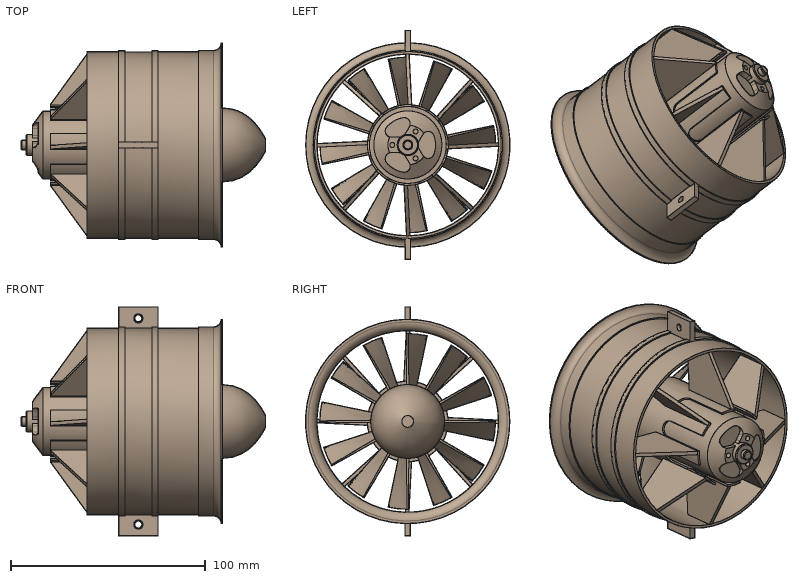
import cadquery as cq
import math


SHROUD_OD = 96.0
SHROUD_ID = 93.2
SHROUD_REAR = 34.0
BAND_OD = 97.2
BAND_WIDTH = 3.3

COLLAR_REAR = 91.3
LIP_OD = 105.0
LIP_FRONT = 103.5
LIP_THICKNESS = 0.6
FLARE_RADIUS = (LIP_OD - BAND_OD) / 2
COLLAR_FRONT = LIP_FRONT - LIP_THICKNESS - FLARE_RADIUS

EAR_REAR = 50.2
EAR_LENGTH = 20.4
EAR_THICKNESS = 2.9
EAR_SPAN = 117.6
EAR_HOLE_SPACING = 105.9
EAR_HOLE_DIA = 3.5
EAR_COUNTERBORE_DIA = 4.7
EAR_COUNTERBORE_DEPTH = 0.8

SLEEVE_OD = 41.5
SLEEVE_ID = 39.5
SLEEVE_REAR = 15.2
SLEEVE_FRONT = 78.0
SLEEVE_WALL = 3.8
STRUT_COUNT = 8
STRUT_FRONT = 53.3
STRUT_THICKNESS = 1.9
STRUT_OFFSET = 2.1
STRUT_LEAN = 2.9
SLOT_WIDTH = 8.0
SLOT_TIP = 48.2
SLOT_ANGLE = 27.5

CAN_DIA = 35.0
CAN_REAR = 11.3
MOTOR_FACE_DIA = 20.4
MOTOR_FACE = 5.9
SHAFT_DIA = 5.0
NUT_DIA = 11.0
NUT_REAR = 2.8
EDGE_CHAMFER = 0.5
POCKET_COUNT = 3
POCKET_FLOOR = 9.0
POCKET_RADIUS = 14.2
POCKET_CORNER = 3.1
POCKET_APEX_FILLET = 4.7
SPOKE_WIDTH = 7.9
SCREW_HOLE_DIA = 2.5
SCREW_CIRCLE_DIA = 16.0
SCREW_HOLE_DEPTH = 3.1

ROTOR_DIA = 38.0
ROTOR_REAR = 80.5
NOSE_TIP = 125.8
NOSE_TIP_DIA = 6.0
NOSE_TIP_SLOPE = 2.0
NOSE_MID_LENGTH = 12.3
NOSE_MID_DIA = 30.5
BLADE_COUNT = 12
BLADE_REAR = 84.3
BLADE_LENGTH = 12.6
BLADE_TIP_RADIUS = 45.2
BLADE_ROOT_THICKNESS = 1.3
BLADE_TIP_THICKNESS = 0.6
BLADE_TWIST = 12.5
BLADE_START_ANGLE = 17.5

OVERLAP = 0.6


def tube(rear, front, outer_dia, inner_dia):
    ring = cq.Workplane("YZ", origin=(rear, 0, 0)).circle(outer_dia / 2).circle(inner_dia / 2)
    return ring.extrude(front - rear)


def rod(rear, front, dia):
    return cq.Workplane("YZ", origin=(rear, 0, 0)).circle(dia / 2).extrude(front - rear)


def around_axis(shape, angle):
    return shape.rotate((0, 0, 0), (1, 0, 0), angle)


def make_lip():
    """Flared intake ring: a quarter-round flare outside and inside, ending in a thin flat rim."""
    inner = SHROUD_ID / 2
    collar = BAND_OD / 2
    rim = LIP_OD / 2
    rim_rear = LIP_FRONT - LIP_THICKNESS
    inner_flare = LIP_FRONT - COLLAR_FRONT
    cos45 = math.cos(math.radians(45))
    outer_mid = (COLLAR_FRONT + FLARE_RADIUS * cos45, rim - FLARE_RADIUS * cos45)
    inner_mid = (COLLAR_FRONT + inner_flare * cos45, inner + inner_flare * (1 - cos45))
    profile = (
        cq.Workplane("XY")
        .moveTo(COLLAR_REAR, inner)
        .lineTo(COLLAR_REAR, collar)
        .lineTo(COLLAR_FRONT, collar)
        .threePointArc(outer_mid, (rim_rear, rim))
        .lineTo(LIP_FRONT, rim)
        .lineTo(LIP_FRONT, inner + inner_flare)
        .threePointArc(inner_mid, (COLLAR_FRONT, inner))
        .close()
    )
    return profile.revolve(360, (0, 0, 0), (1, 0, 0))


def make_ear():
    """Upper mounting ear, drilled and counterbored from the -Y side."""
    root = SHROUD_OD / 2 - OVERLAP
    height = EAR_SPAN / 2 - root
    middle = EAR_REAR + EAR_LENGTH / 2
    plate = cq.Workplane("XY").box(EAR_LENGTH, EAR_THICKNESS, height)
    plate = plate.translate((middle, 0, root + height / 2))
    face = cq.Workplane("XZ", origin=(middle, -EAR_THICKNESS / 2, EAR_HOLE_SPACING / 2))
    hole = face.circle(EAR_HOLE_DIA / 2).extrude(-EAR_THICKNESS)
    counterbore = face.circle(EAR_COUNTERBORE_DIA / 2).extrude(-EAR_COUNTERBORE_DEPTH)
    return plate.cut(hole).cut(counterbore)


def make_shroud():
    ear_front = EAR_REAR + EAR_LENGTH
    ear = make_ear()
    shroud = tube(SHROUD_REAR, COLLAR_FRONT, SHROUD_OD, SHROUD_ID)
    shroud = shroud.union(tube(EAR_REAR, EAR_REAR + BAND_WIDTH, BAND_OD, SHROUD_ID))
    shroud = shroud.union(tube(ear_front - BAND_WIDTH, ear_front, BAND_OD, SHROUD_ID))
    return shroud.union(make_lip()).union(ear).union(ear.mirror("XY"))


def make_strut():
    """Flat plate on the -Y side, leaning slightly off the radial direction."""
    inner = (SLEEVE_OD + SLEEVE_ID) / 4
    outer = (SHROUD_OD + SHROUD_ID) / 4
    plate = (
        cq.Workplane("XY", origin=(0, 0, -STRUT_OFFSET - STRUT_THICKNESS / 2))
        .polyline([
            (SLEEVE_REAR, -inner),
            (SLEEVE_REAR, -SLEEVE_OD / 2),
            (SHROUD_REAR, -SHROUD_ID / 2),
            (SHROUD_REAR + OVERLAP, -outer),
            (STRUT_FRONT, -outer),
            (STRUT_FRONT, -inner),
        ])
        .close()
        .extrude(STRUT_THICKNESS)
    )
    return around_axis(plate, -STRUT_LEAN)


def make_slot():
    """Round-ended slot on the -Y side, open at the rear of the sleeve."""
    half = SLOT_WIDTH / 2
    round_start = SLOT_TIP - half
    outline = (
        cq.Workplane("XZ", origin=(0, -CAN_DIA / 2, 0))
        .moveTo(SLEEVE_REAR - OVERLAP, -half)
        .lineTo(round_start, -half)
        .threePointArc((SLOT_TIP, 0), (round_start, half))
        .lineTo(SLEEVE_REAR - OVERLAP, half)
        .close()
    )
    return around_axis(outline.extrude(SLEEVE_OD / 2), -SLOT_ANGLE)


def make_stator():
    sleeve = tube(SLEEVE_REAR, SLEEVE_FRONT, SLEEVE_OD, SLEEVE_ID)
    slot = make_slot()
    strut = make_strut()
    angles = [i * 360 / STRUT_COUNT for i in range(STRUT_COUNT)]
    for angle in angles:
        sleeve = sleeve.cut(around_axis(slot, angle))
    for angle in angles:
        sleeve = sleeve.union(around_axis(strut, angle))
    return sleeve.union(rod(SLEEVE_FRONT - SLEEVE_WALL, SLEEVE_FRONT, SLEEVE_OD))


def make_pocket():
    """Rounded three-sided pocket on the -Y side, between two spokes of the motor's rear face."""
    spoke_angle = math.radians(180 / POCKET_COUNT)
    apex = SPOKE_WIDTH / 2 / math.sin(spoke_angle)
    along = apex * math.cos(spoke_angle)
    reach = math.sqrt(POCKET_RADIUS**2 - (SPOKE_WIDTH / 2) ** 2) - along
    corner_y = -apex - reach * math.cos(spoke_angle)
    corner_z = reach * math.sin(spoke_angle)
    outline = (
        cq.Workplane("YZ", origin=(MOTOR_FACE, 0, 0))
        .moveTo(-apex, 0)
        .lineTo(corner_y, corner_z)
        .threePointArc((-POCKET_RADIUS, 0), (corner_y, -corner_z))
        .close()
    )
    pocket = outline.extrude(POCKET_FLOOR - MOTOR_FACE)
    pocket = pocket.edges("|X and (<Z or >Z)").fillet(POCKET_CORNER)
    return pocket.edges("|X and >Y").fillet(POCKET_APEX_FILLET)


def make_motor():
    """Motor can with a conical rear end, shaft, nut, three pockets and three screw holes."""
    body = (
        cq.Workplane("XY")
        .polyline([
            (MOTOR_FACE, 0),
            (MOTOR_FACE, MOTOR_FACE_DIA / 2),
            (CAN_REAR, CAN_DIA / 2),
            (SLEEVE_FRONT, CAN_DIA / 2),
            (SLEEVE_FRONT, 0),
        ])
        .close()
        .revolve(360, (0, 0, 0), (1, 0, 0))
    )
    pocket = make_pocket()
    screw_hole = rod(MOTOR_FACE, MOTOR_FACE + SCREW_HOLE_DEPTH, SCREW_HOLE_DIA)
    screw_hole = screw_hole.translate((0, SCREW_CIRCLE_DIA / 2, 0))
    for i in range(POCKET_COUNT):
        angle = i * 360 / POCKET_COUNT
        body = body.cut(around_axis(pocket, angle)).cut(around_axis(screw_hole, angle))
    nut = rod(NUT_REAR, POCKET_FLOOR, NUT_DIA).faces("<X").chamfer(EDGE_CHAMFER)
    shaft = rod(0, ROTOR_REAR, SHAFT_DIA).faces("<X").chamfer(EDGE_CHAMFER)
    return body.union(nut).union(shaft)


def make_rotor():
    """Hub with a rounded nose and twelve helically twisted blades."""
    hub_radius = ROTOR_DIA / 2
    hub = (
        cq.Workplane("XY")
        .moveTo(ROTOR_REAR, 0)
        .lineTo(ROTOR_REAR, hub_radius)
        .lineTo(LIP_FRONT, hub_radius)
        .spline(
            [(LIP_FRONT + NOSE_MID_LENGTH, NOSE_MID_DIA / 2), (NOSE_TIP, NOSE_TIP_DIA / 2)],
            tangents=[(1, 0), (1, -NOSE_TIP_SLOPE)],
            includeCurrent=True,
        )
        .lineTo(NOSE_TIP, 0)
        .close()
        .revolve(360, (0, 0, 0), (1, 0, 0))
    )
    root = hub_radius - OVERLAP
    blade = (
        cq.Workplane("YZ", origin=(BLADE_REAR, 0, 0))
        .polyline([
            (root, -BLADE_ROOT_THICKNESS / 2),
            (BLADE_TIP_RADIUS, -BLADE_TIP_THICKNESS / 2),
            (BLADE_TIP_RADIUS, BLADE_TIP_THICKNESS / 2),
            (root, BLADE_ROOT_THICKNESS / 2),
        ])
        .close()
        .twistExtrude(BLADE_LENGTH, BLADE_TWIST)
    )
    for i in range(BLADE_COUNT):
        hub = hub.union(around_axis(blade, BLADE_START_ANGLE + i * 360 / BLADE_COUNT))
    return hub


result = make_shroud().union(make_stator()).union(make_motor()).union(make_rotor())